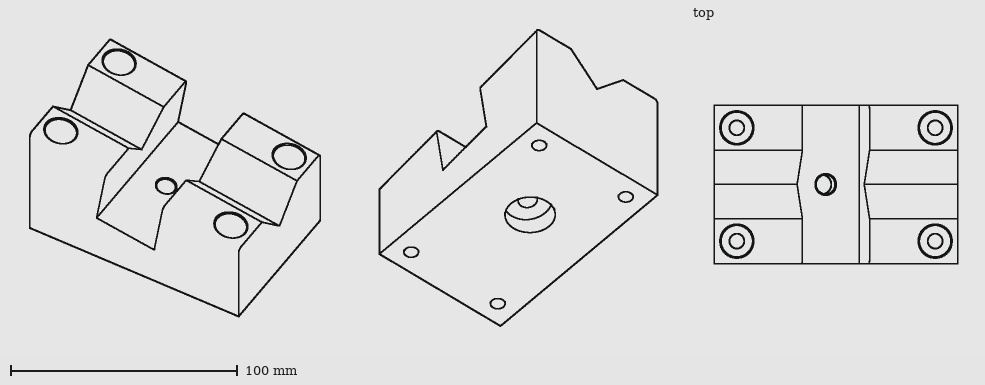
import cadquery as cq
import math

length = 107.5
width = 70.0
height = 58.8
slope_angle = 9.0
edge_radius = 2.0

vee_depth = 15.0
slot_width = 30.0
slot_depth = 29.0

screw_inset = 10.0
screw_hole_diameter = 6.5
screw_head_diameter = 14.0
screw_seat_height = 16.1
mouth_chamfer = 0.48

center_hole_diameter = 8.5
recess_diameter = 22.0
center_hole_length = 11.3

slope_drop = length * math.tan(math.radians(slope_angle))
overrun = length

slope_plane = cq.Plane(
    origin=(0, 0, height - slope_drop / 2),
    xDir=(math.cos(math.radians(slope_angle)), 0, -math.sin(math.radians(slope_angle))),
    normal=(math.sin(math.radians(slope_angle)), 0, math.cos(math.radians(slope_angle))),
)


def make_block():
    """Wedge-topped block with its two long top edges rounded."""
    block = (
        cq.Workplane("XZ")
        .polyline([
            (-length / 2, 0),
            (length / 2, 0),
            (length / 2, height - slope_drop),
            (-length / 2, height),
        ])
        .close()
        .extrude(width / 2, both=True)
    )
    long_top_edges = block.faces(">Z").edges("<Y or >Y")
    return long_top_edges.fillet(edge_radius)


def make_vee():
    """Vee groove running down the slope."""
    section_plane = cq.Plane(
        origin=slope_plane.origin,
        xDir=(0, 1, 0),
        normal=slope_plane.xDir,
    )
    return (
        cq.Workplane(section_plane)
        .polyline([(0, -vee_depth), (2 * vee_depth, vee_depth), (-2 * vee_depth, vee_depth)])
        .close()
        .extrude(overrun, both=True)
    )


def make_slot():
    """Cross slot over the full width, square to the slope."""
    return cq.Workplane(slope_plane).box(slot_width, 2 * width, 2 * slot_depth)


def make_screw_hole(x, y):
    """Through hole with a flat-bottomed clearance for the screw head."""
    hole = cq.Workplane("XY").center(x, y).circle(screw_hole_diameter / 2).extrude(overrun)
    head = (
        cq.Workplane("XY", origin=(x, y, screw_seat_height))
        .circle(screw_head_diameter / 2)
        .extrude(overrun)
    )
    return hole.union(head)


def make_center_hole():
    """Hole in the slot floor with a chamfered mouth and a wide recess from below."""
    floor = cq.Workplane(slope_plane).workplane(offset=-slot_depth)
    hole = floor.circle(center_hole_diameter / 2).extrude(-overrun)
    mouth = floor.circle(center_hole_diameter / 2 + mouth_chamfer).extrude(-mouth_chamfer, taper=45)
    recess = (
        floor.workplane(offset=-center_hole_length)
        .circle(recess_diameter / 2)
        .extrude(-overrun)
    )
    return hole.union(mouth).union(recess)


def chamfer_screw_mouth(body, x, y):
    """Break the elliptical rim where a screw head hole meets the slope."""
    reach = screw_head_diameter / 2 + mouth_chamfer
    mouth_region = cq.selectors.BoxSelector(
        (x - reach, y - reach, height / 2),
        (x + reach, y + reach, height),
    )
    return body.edges(mouth_region).edges("%ELLIPSE").chamfer(mouth_chamfer)


result = make_block().cut(make_vee()).cut(make_slot()).cut(make_center_hole())

screw_x = length / 2 - screw_inset
screw_y = width / 2 - screw_inset
for x in (-screw_x, screw_x):
    for y in (-screw_y, screw_y):
        result = result.cut(make_screw_hole(x, y))
        result = chamfer_screw_mouth(result, x, y)